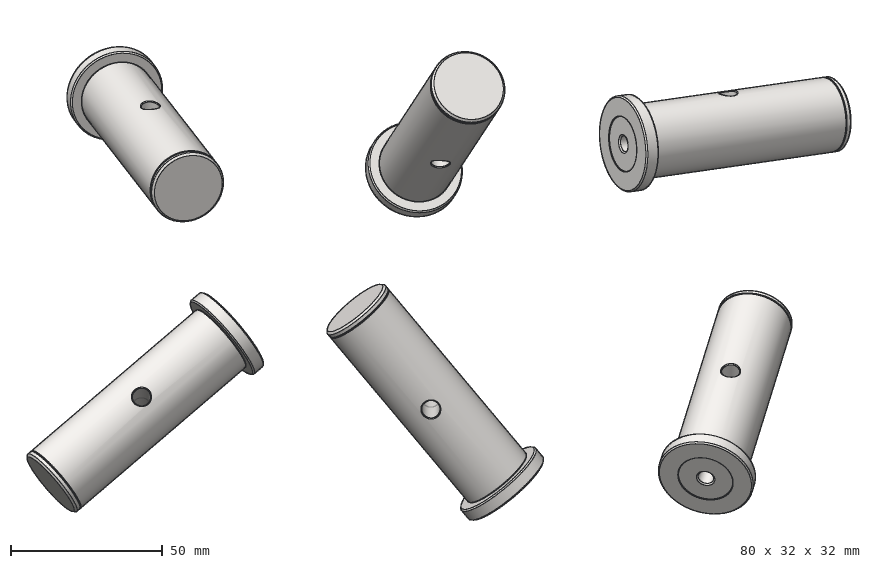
import cadquery as cq

length = 80.0
flange_diameter = 32.0
flange_thickness = 4.8
shank_diameter = 25.0
edge_chamfer = 0.5

neck_width = 0.2
neck_depth = 0.2

tip_chamfer = 0.7
groove_width = 0.5
groove_depth = 0.2
groove_to_end = 1.9

recess_diameter = 18.7
recess_depth = 0.2

tap_diameter = 5.3
tap_mouth_diameter = 6.2
tap_depth = 12.0
drill_point_length = 1.6

cross_hole_diameter = 6.0
cross_hole_chamfer = 0.3
cross_hole_x = length / 2

flange_radius = flange_diameter / 2
shank_radius = shank_diameter / 2


def revolve_about_axis(outline):
    """Spin a list of (x, radius) points around the X axis."""
    return cq.Workplane("XY").polyline(outline).close().revolve(360, (0, 0), (1, 0))


def make_body():
    """Chamfered flange and shank, including the neck and the tip groove."""
    neck_radius = shank_radius - neck_depth
    groove_radius = shank_radius - groove_depth
    groove_end = length - groove_to_end
    groove_start = groove_end - groove_width
    return revolve_about_axis([
        (0, 0),
        (0, flange_radius - edge_chamfer),
        (edge_chamfer, flange_radius),
        (flange_thickness - edge_chamfer, flange_radius),
        (flange_thickness, flange_radius - edge_chamfer),
        (flange_thickness, neck_radius),
        (flange_thickness + neck_width, neck_radius),
        (flange_thickness + neck_width, shank_radius),
        (groove_start, shank_radius),
        (groove_start + groove_width / 2, groove_radius),
        (groove_end, shank_radius),
        (length - tip_chamfer, shank_radius),
        (length, shank_radius - tip_chamfer),
        (length, 0),
    ])


def make_face_cut():
    """Recess in the flange face with the countersunk tapped hole in its floor."""
    tap_radius = tap_diameter / 2
    mouth_radius = tap_mouth_diameter / 2
    recess_radius = recess_diameter / 2
    mouth_bottom = recess_depth + mouth_radius - tap_radius
    return revolve_about_axis([
        (0, 0),
        (0, recess_radius),
        (recess_depth, recess_radius - recess_depth),
        (recess_depth, mouth_radius),
        (mouth_bottom, tap_radius),
        (tap_depth, tap_radius),
        (tap_depth + drill_point_length, 0),
    ])


def drill_cross_hole(body):
    """Drill through the shank along Z and chamfer the rim at both ends."""
    drill = (
        cq.Workplane("XY")
        .center(cross_hole_x, 0)
        .circle(cross_hole_diameter / 2)
        .extrude(shank_radius, both=True)
    )
    zone_reach = cross_hole_diameter
    rim_zone = cq.selectors.BoxSelector(
        (cross_hole_x - zone_reach, -zone_reach, -flange_radius),
        (cross_hole_x + zone_reach, zone_reach, flange_radius),
        boundingbox=True,
    )
    rims = body.cut(drill).edges(rim_zone).edges("not |Z")
    return rims.chamfer(cross_hole_chamfer)


result = drill_cross_hole(make_body().cut(make_face_cut()))